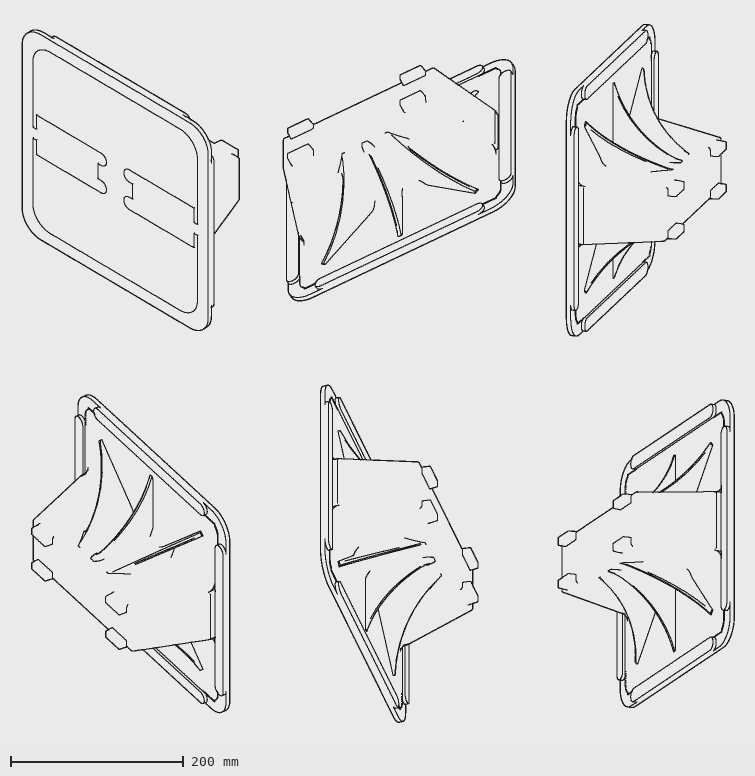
import cadquery as cq
import math


plate_size = 300.0
plate_corner_radius = 30.0
plate_thickness = 5.5

bar_width = 16.0
bar_length = 224.0
bar_rear = 9.7

pad_size = plate_size - 2 * bar_width
pad_rear = 6.5
pad_corner_radius = plate_corner_radius - bar_width

socket_rear = 104.0
socket_front_length = 268.0
socket_rear_length = 201.0
socket_front_height = 72.0
socket_rear_height = 63.0
socket_skirt_length = 262.0
socket_edge_radius = 3.0
socket_foot_radius = 8.5

foot_base_length = 30.0
foot_top_length = 28.0
foot_depth = 10.5
foot_center_x = 75.0
foot_rear = 114.0
foot_edge_radius = 1.5

rib_front_thickness = 6.4
rib_rear_thickness = 3.6
rib_root_radius = 5.0
rib_crest_radius = 1.6
rib_arch_width = 14.6
rib_arch_height = 17.5
rib_blank_rear = 98.0
rib_blank_length = 120.0
rib_buried_length = 9.0
rib_envelope_reach = 18.0
diagonal_rib_x = 31.0
diagonal_rib_angle = 45.0

straight_rib_curve = ((0, 91.5), (29, 43), (88, 6.6))
diagonal_rib_curve = ((0, 88.5), (41, 39), (101, 8))

tolerance = 0.1

insert_size = 265.0
insert_corner_radius = 28.0
insert_depth = 3.0
neck_width = 16.0
arm_outer_x = 127.0
arm_slot_x = 28.0
lobe_radius = 9.0
lobe_center_x = 23.0
lobe_center_z = 20.0

rear_facing = cq.Plane(origin=(0, 0, 0), xDir=(-1, 0, 0), normal=(0, 1, 0))


def rear_workplane(y):
    """Sketch plane at depth y that extrudes toward +Y."""
    return cq.Workplane(rear_facing).workplane(offset=y)


def rounded_square(size, corner_radius, front, rear):
    """Square slab with round corners between two depths."""
    slab = rear_workplane(front).rect(size, size).extrude(rear - front)
    return slab.edges("|Y").fillet(corner_radius)


def make_bars():
    """Four round-ended bars, one along each edge of the plate."""
    offset = (plate_size - bar_width) / 2
    height = bar_rear - plate_thickness
    bars = rear_workplane(plate_thickness).pushPoints([(0, offset), (0, -offset)])
    bars = bars.slot2D(bar_length, bar_width).extrude(height)
    side_bars = rear_workplane(plate_thickness).pushPoints([(offset, 0), (-offset, 0)])
    return bars.union(side_bars.slot2D(bar_length, bar_width, 90).extrude(height))


def tapered_block(rear):
    """Block with sloping walls down to upright end skirts, cut off at the given depth."""
    depth = rear - plate_thickness
    full_depth = socket_rear - plate_thickness
    slope_x = (socket_rear_length - socket_front_length) / full_depth
    slope_z = (socket_rear_height - socket_front_height) / full_depth
    block = (
        rear_workplane(plate_thickness)
        .rect(socket_front_length, socket_front_height)
        .workplane(offset=depth)
        .rect(socket_front_length + slope_x * depth, socket_front_height + slope_z * depth)
        .loft(ruled=True)
    )
    skirt = rear_workplane(plate_thickness).rect(socket_skirt_length, plate_size).extrude(depth)
    return block.intersect(skirt)


def make_foot_column(center_x):
    """Upright column with drafted sides that bounds the feet at one end of the socket."""
    return (
        cq.Workplane("XY", origin=(center_x, 0, 0))
        .polyline(
            [
                (-foot_base_length / 2, socket_rear),
                (foot_base_length / 2, socket_rear),
                (foot_top_length / 2, foot_rear),
                (-foot_top_length / 2, foot_rear),
            ]
        )
        .close()
        .extrude(socket_front_height, both=True)
    )


def make_foot_flare():
    """Strip along the base of the socket with the fillets that blend its long walls into the pad."""
    length = socket_skirt_length - 2 * socket_edge_radius
    strip_rear = pad_rear + socket_foot_radius
    block = tapered_block(strip_rear).intersect(
        rear_workplane(plate_thickness).rect(length, plate_size).extrude(socket_rear)
    )
    base = rear_workplane(plate_thickness).rect(length, pad_size).extrude(pad_rear - plate_thickness)
    return fillet_where(block.union(base), is_socket_base_edge, socket_foot_radius)


def make_socket():
    """Tapered socket with four feet whose outer faces continue its upper and lower walls."""
    foot_inner_z = socket_rear_height / 2 - foot_depth
    foot_gap = rear_workplane(socket_rear).rect(socket_front_length, 2 * foot_inner_z).extrude(foot_rear)
    tall_block = tapered_block(foot_rear).cut(foot_gap)
    socket = tapered_block(socket_rear)
    for center_x in (-foot_center_x, foot_center_x):
        socket = socket.union(tall_block.intersect(make_foot_column(center_x)))
    socket = fillet_where(socket, is_socket_outer_edge, socket_edge_radius)
    return fillet_where(socket, is_foot_edge, foot_edge_radius)


def fillet_where(body, condition, radius):
    """Fillet every edge of the body that meets the condition."""
    chosen = [edge for edge in body.edges().vals() if condition(edge)]
    return body.newObject(chosen).fillet(radius)


def is_socket_outer_edge(edge):
    """Corner edges of the socket, and its rear rim apart from the inner sides of the feet."""
    center = edge.Center()
    at_rear = abs(center.y - socket_rear) < tolerance
    on_wall = abs(center.z) > socket_rear_height / 2 - tolerance
    on_end = abs(center.x) > socket_rear_length / 2 - tolerance
    is_corner = plate_thickness + tolerance < center.y < socket_rear - tolerance and on_wall and on_end
    return is_corner or (at_rear and (on_wall or on_end))


def is_foot_edge(edge):
    """Top and upright edges of the feet."""
    return edge.Center().y > socket_rear + socket_edge_radius


def is_socket_base_edge(edge):
    """Long edges where the upper and lower socket walls meet the pad."""
    bounds = edge.BoundingBox()
    in_pad_plane = abs(bounds.ymin - pad_rear) < tolerance and bounds.ylen < tolerance
    is_along_x = bounds.zlen < tolerance
    return in_pad_plane and is_along_x and abs(bounds.zmin) < socket_front_height / 2


def rib_direction(angle):
    """Horizontal direction tilted from +Z toward +X by the angle in degrees."""
    tilt = math.radians(angle)
    return cq.Vector(math.sin(tilt), 0, math.cos(tilt))


def make_rib_blank(root, outward, across):
    """Straight drafted wall that starts inside the socket and runs past the rib toe."""
    start = root - outward * rib_buried_length
    return (
        cq.Workplane(cq.Plane(origin=start, xDir=across, normal=outward))
        .polyline(
            [
                (-rib_front_thickness / 2, plate_thickness),
                (rib_front_thickness / 2, plate_thickness),
                (rib_rear_thickness / 2, rib_blank_rear),
                (-rib_rear_thickness / 2, rib_blank_rear),
            ]
        )
        .close()
        .extrude(rib_buried_length + rib_blank_length)
    )


def make_rib_envelope(root, outward, across, crest, middle, toe):
    """Space below the concave crest, wide enough to hold the rib and its root fillets."""
    return (
        cq.Workplane(cq.Plane(origin=root, xDir=outward, normal=-across))
        .moveTo(-rib_envelope_reach, plate_thickness)
        .lineTo(toe[0], plate_thickness)
        .lineTo(*toe)
        .threePointArc(middle, crest)
        .lineTo(-rib_envelope_reach, crest[1])
        .close()
        .extrude(rib_envelope_reach, both=True)
    )


def is_rib_root_edge(edge):
    """Upright edges where a rib blank meets the upper socket wall."""
    bounds = edge.BoundingBox()
    above_rear_rim = bounds.zmin > socket_rear_height / 2 - tolerance
    below_wall_base = bounds.zmax < socket_front_height / 2 + tolerance
    spans_blank = abs(bounds.ymax - rib_blank_rear) < tolerance and bounds.ymin < pad_rear
    return above_rear_rim and below_wall_base and spans_blank


def is_crest_edge(edge):
    """Long curved edges of a rib crest."""
    return edge.geomType() == "ELLIPSE" and edge.BoundingBox().zmax > socket_front_height


def make_rib(root_x, angle, crest, middle, toe):
    """Rib with root fillets and a rounded concave crest through three (distance, y) points.

    Distance is measured from the rear edge of the upper socket wall along the rib.
    The part of the socket wall behind the rib comes with it.
    """
    outward = rib_direction(angle)
    across = cq.Vector(0, 1, 0).cross(outward)
    root = cq.Vector(root_x, 0, socket_rear_height / 2)
    rib = tapered_block(socket_rear).union(make_rib_blank(root, outward, across))
    rib = fillet_where(rib, is_rib_root_edge, rib_root_radius)
    rib = rib.intersect(make_rib_envelope(root, outward, across, crest, middle, toe))
    return fillet_where(rib, is_crest_edge, rib_crest_radius)


def make_straight_rib():
    """Upright rib whose root fillets close in an arch below its crest."""
    arch_base = straight_rib_curve[0][1] - rib_arch_height
    arch = cq.Workplane("XY", origin=(0, arch_base, 0)).ellipse(rib_arch_width / 2, rib_arch_height)
    arch = arch.extrude(plate_size / 2)
    stem = cq.Workplane("XY").rect(2 * rib_envelope_reach, 2 * arch_base).extrude(plate_size / 2)
    return make_rib(0, 0, *straight_rib_curve).intersect(arch.union(stem))


def make_upper_ribs():
    """One straight rib and a diagonal rib on each side of it."""
    diagonal = make_rib(diagonal_rib_x, diagonal_rib_angle, *diagonal_rib_curve)
    return [make_straight_rib(), diagonal, diagonal.mirror("YZ")]


def make_arm(side):
    """Anchor arm as deep as the insert: neck, wide body and two round lobes facing the center."""
    half_body = lobe_center_z + lobe_radius

    def block(x_inner, x_outer, z_low, z_high):
        box = cq.Workplane("XY").box(x_outer - x_inner, insert_depth, z_high - z_low, centered=False)
        return box.translate((x_inner, 0, z_low))

    arm = block(arm_slot_x, arm_outer_x, -half_body, half_body)
    arm = arm.union(block(arm_outer_x, insert_size / 2, -neck_width / 2, neck_width / 2))
    for z in (-lobe_center_z, lobe_center_z):
        arm = arm.union(block(lobe_center_x, arm_slot_x, z - lobe_radius, z + lobe_radius))
        lobe = cq.Workplane("XZ", origin=(lobe_center_x, 0, z)).circle(lobe_radius).extrude(-insert_depth)
        arm = arm.union(lobe)
    return arm if side > 0 else arm.mirror("YZ")


def make_insert():
    """Rounded square panel set flush in the front face, cut away around the anchor arms."""
    insert = rounded_square(insert_size, insert_corner_radius, 0, insert_depth)
    for side in (-1, 1):
        insert = insert.cut(make_arm(side))
    return insert


def make_housing(insert):
    """Plate with bars, socket, feet and ribs, recessed for the insert."""
    housing = rounded_square(plate_size, plate_corner_radius, 0, plate_thickness)
    housing = housing.union(rounded_square(pad_size, pad_corner_radius, plate_thickness, pad_rear))
    housing = housing.union(make_socket()).union(make_foot_flare())
    for rib in make_upper_ribs():
        housing = housing.union(rib).union(rib.mirror("XY"))
    return housing.union(make_bars()).cut(insert)


insert = make_insert()
housing = make_housing(insert)
result = cq.Compound.makeCompound([housing.val(), insert.val()])